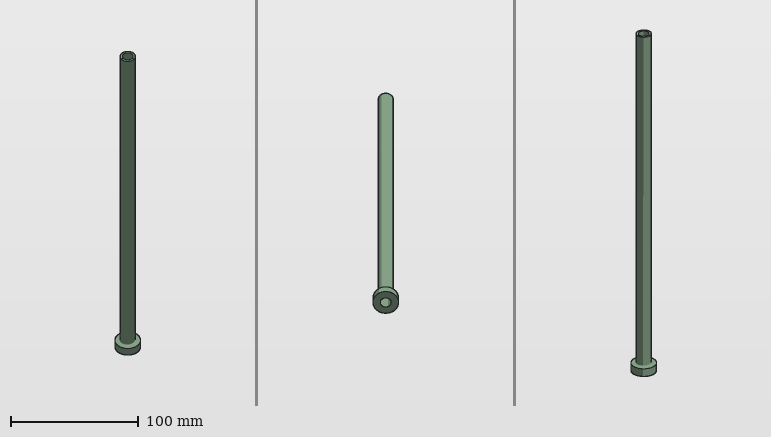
import cadquery as cq

total_length = 300.0
head_diameter = 20.0
head_height = 7.0
tube_diameter = 12.0
bore_diameter = 8.5
root_fillet_radius = 0.5

head_radius = head_diameter / 2
tube_radius = tube_diameter / 2
bore_radius = bore_diameter / 2

half_section = (
    cq.Workplane("XZ")
    .moveTo(bore_radius, 0)
    .lineTo(head_radius, 0)
    .lineTo(head_radius, head_height)
    .lineTo(tube_radius + root_fillet_radius, head_height)
    .radiusArc((tube_radius, head_height + root_fillet_radius), root_fillet_radius)
    .lineTo(tube_radius, total_length)
    .lineTo(bore_radius, total_length)
    .close()
)

result = half_section.revolve(360, (0, 0, 0), (0, 1, 0))